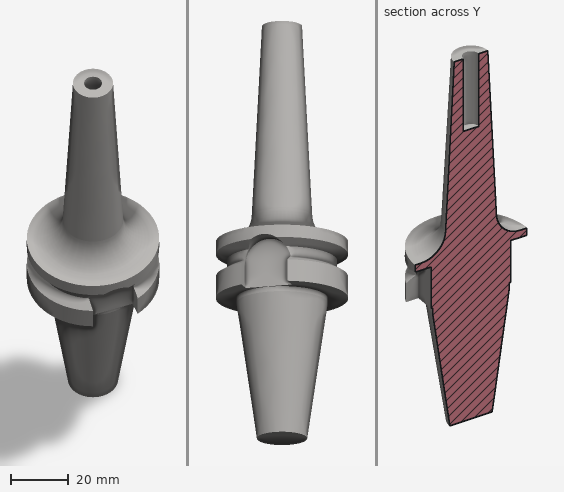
import cadquery as cq
import math

total_length = 148.4
taper_top = 48.7
flange_bottom = 50.5
flange_top = 70.6
nose_base = 80.0

taper_small_radius = 8.8
taper_large_radius = 15.9
flange_radius = 23.0
fillet_foot_radius = 20.5
nose_base_radius = 10.5
nose_tip_radius = 7.0

groove_radius = 19.1
groove_lower_edge = 58.2
groove_floor_bottom = 60.4
groove_floor_top = 64.0
groove_upper_edge = 66.2

slot_width = 16.6
slot_crest = 67.5
slot_floor_distance = 16.3
bore_radius = 3.1
bore_depth = 29.7


def revolved_body():
    """Taper shank, grooved flange and slender conical nose."""
    cone_direction = (
        nose_tip_radius - nose_base_radius,
        total_length - nose_base,
    )
    fillet_tangent = (-cone_direction[0], -cone_direction[1])
    profile = (
        cq.Workplane("XZ")
        .lineTo(taper_small_radius, 0)
        .lineTo(taper_large_radius, taper_top)
        .lineTo(taper_large_radius, flange_bottom)
        .lineTo(flange_radius, flange_bottom)
        .lineTo(flange_radius, groove_lower_edge)
        .lineTo(groove_radius, groove_floor_bottom)
        .lineTo(groove_radius, groove_floor_top)
        .lineTo(flange_radius, groove_upper_edge)
        .lineTo(flange_radius, flange_top)
        .lineTo(fillet_foot_radius, flange_top)
        .threePointArc(
            fillet_midpoint(fillet_tangent),
            (nose_base_radius, nose_base),
        )
        .lineTo(nose_tip_radius, total_length)
        .lineTo(0, total_length)
        .close()
    )
    return profile.revolve(360, (0, 0, 0), (0, 1, 0))


def fillet_midpoint(tangent):
    """Middle of the arc that leaves the nose base along the tangent and ends at the foot."""
    chord_x = fillet_foot_radius - nose_base_radius
    chord_z = flange_top - nose_base
    chord = math.hypot(chord_x, chord_z)
    half_sweep = math.atan2(chord_z, chord_x) - math.atan2(tangent[1], tangent[0])
    sagitta = chord / 2 * math.tan(half_sweep / 2)
    middle_x = (nose_base_radius + fillet_foot_radius) / 2
    middle_z = (nose_base + flange_top) / 2
    return (
        middle_x + sagitta * chord_z / chord,
        middle_z - sagitta * chord_x / chord,
    )


def drive_slot(side):
    """Round-topped slot cutter, open at the flange bottom, on the given X side."""
    slot_radius = slot_width / 2
    arc_center = slot_crest - slot_radius
    return (
        cq.Workplane("YZ", origin=(side * slot_floor_distance, 0, 0))
        .moveTo(-slot_radius, flange_bottom)
        .lineTo(slot_radius, flange_bottom)
        .lineTo(slot_radius, arc_center)
        .threePointArc((0, slot_crest), (-slot_radius, arc_center))
        .close()
        .extrude(side * flange_radius)
    )


def tool_bore():
    """Blind bore down from the nose tip."""
    return (
        cq.Workplane("XY", origin=(0, 0, total_length - bore_depth))
        .circle(bore_radius)
        .extrude(bore_depth)
    )


result = revolved_body()
for side in (-1, 1):
    result = result.cut(drive_slot(side))
result = result.cut(tool_bore())